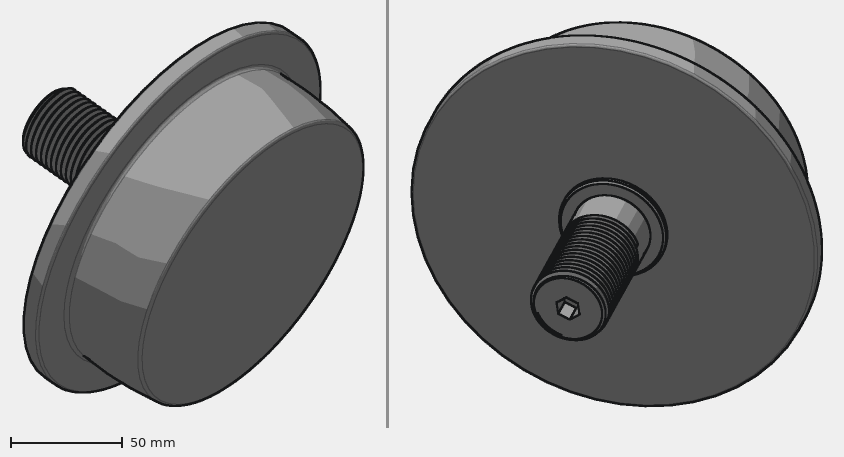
import cadquery as cq
import math


axle_radius = 18.0
axle_tip_chamfer = 2.0
collar_start = 68.0
collar_radius = 25.0
collar_chamfer = 1.1

thread_length = 50.0
thread_turns = 16 + 2 / 3
thread_depth = 2.8
thread_flank_angle = 25
thread_root_flat = 0.2
thread_start_x = 0.2
thread_start_angle = 192
groove_overshoot = 0.1

socket_across_flats = 10.0
socket_depth = 10.0
socket_turn = 8

flange_start = 71.0
flange_radius = 95.0
flange_rim_end = 80.0
flange_edge_fillet = 1.1
tread_start = 81.5
tread_root_fillet = 1.7
wheel_end = 124.0
crown_x = 95.0
crown_tread_radius = 77.5
crown_arc_radius = 171.0
wheel_edge_fillet = 1.5


def tread_radius(x):
    """Radius of the crowned tread at a place along the axis."""
    sagitta = crown_arc_radius - math.sqrt(crown_arc_radius**2 - (x - crown_x) ** 2)
    return crown_tread_radius - sagitta


def make_wheel():
    """Flange with a tapered back, blended into a crowned tread."""
    tread_middle = (tread_start + wheel_end) / 2
    wheel = (
        cq.Workplane("XY")
        .moveTo(flange_start, 0)
        .lineTo(flange_start, flange_radius)
        .lineTo(flange_rim_end, flange_radius)
        .lineTo(tread_start, tread_radius(tread_start))
        .threePointArc((tread_middle, tread_radius(tread_middle)), (wheel_end, tread_radius(wheel_end)))
        .lineTo(wheel_end, 0)
        .close()
        .revolve(360, (0, 0, 0), (1, 0, 0))
    )
    wheel = wheel.faces(">X").edges().fillet(wheel_edge_fillet)
    wheel = wheel.edges(cq.NearestToPointSelector((tread_start, 0, 0))).fillet(tread_root_fillet)
    return wheel.faces("%CYLINDER").edges("%CIRCLE").fillet(flange_edge_fillet)


def make_axle():
    """Plain axle and its collar, reaching into the wheel."""
    axle = cq.Workplane("YZ").circle(axle_radius).extrude(flange_start)
    axle = axle.faces("<X").chamfer(axle_tip_chamfer)
    collar = cq.Workplane("YZ", (collar_start, 0, 0)).circle(collar_radius).extrude(flange_start - collar_start)
    return axle.union(collar.faces("<X").chamfer(collar_chamfer))


def make_thread_groove():
    """Helical groove, swept up the Z axis and then laid along X."""
    root_radius = axle_radius - thread_depth
    mouth_radius = axle_radius + groove_overshoot
    root_half = thread_root_flat / 2
    mouth_half = root_half + (mouth_radius - root_radius) * math.tan(math.radians(thread_flank_angle))
    helix = cq.Wire.makeHelix(thread_length / thread_turns, thread_length, root_radius)
    groove = (
        cq.Workplane("XZ")
        .polyline(
            [
                (root_radius, -root_half),
                (mouth_radius, -mouth_half),
                (mouth_radius, mouth_half),
                (root_radius, root_half),
            ]
        )
        .close()
        .sweep(cq.Workplane(helix), isFrenet=True)
    )
    return (
        groove.rotate((0, 0, 0), (0, 1, 0), 90)
        .rotate((0, 0, 0), (1, 0, 0), thread_start_angle - 180)
        .translate((thread_start_x, 0, 0))
    )


def make_socket():
    """Hexagonal socket cutter."""
    across_corners = socket_across_flats / math.cos(math.radians(30))
    socket = cq.Workplane("YZ").polygon(6, across_corners).extrude(socket_depth)
    return socket.rotate((0, 0, 0), (1, 0, 0), 90 - socket_turn)


axle = make_axle().cut(make_thread_groove()).cut(make_socket())
result = make_wheel().union(axle)